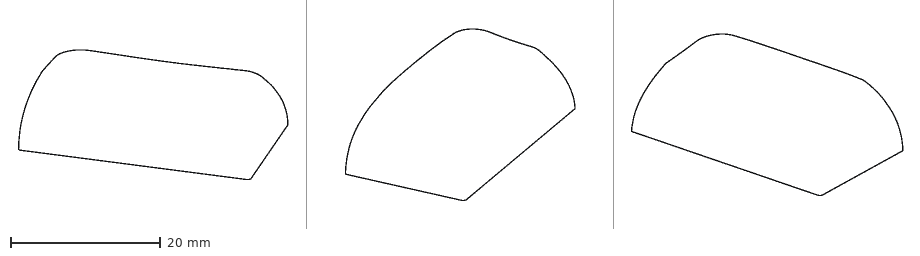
import cadquery as cq

key_pitch = 19.05
key_units_x = 1.75
base_y = 18.2
base_x = key_pitch * key_units_x - (key_pitch - base_y)
base_corner_radius = 0.5

top_inset = 5.0
top_x = base_x - top_inset
top_y = base_y - top_inset
side_bow = 1.7
top_corner_radius = 5.0

nominal_height = 10.5
top_tilt = -8.0
mid_fraction = 0.25
mid_corner_radius = (top_corner_radius - base_corner_radius) / 3

dish_depth = 2.8
dish_end_depth = 1.3
dish_end_inset = 2.0
dish_middle_overhang = 2.0
dish_middle_drop = 0.5

rim_fillet = 0.6


def rounded_rectangle(corner_radius):
    """Footprint rectangle with rounded corners."""
    return cq.Sketch().rect(base_x, base_y).vertices().fillet(corner_radius)


def bowed_rectangle():
    """Top outline whose four sides bow outward."""
    half_x = top_x / 2
    half_y = top_y / 2
    corner_x = half_x - side_bow
    corner_y = half_y - side_bow
    return (
        cq.Sketch()
        .arc((-corner_x, -corner_y), (-half_x, 0), (-corner_x, corner_y))
        .arc((-corner_x, corner_y), (0, half_y), (corner_x, corner_y))
        .arc((corner_x, corner_y), (half_x, 0), (corner_x, -corner_y))
        .arc((corner_x, -corner_y), (0, -half_y), (-corner_x, -corner_y))
        .assemble()
        .vertices()
        .fillet(top_corner_radius)
    )


def tilted(height, angle):
    """Placement at a height, tilted about the X axis."""
    return cq.Location(cq.Vector(0, 0, height), cq.Vector(1, 0, 0), angle)


def cap_body():
    """Loft from the base through a middle section to the tilted top."""
    middle_placement = tilted(nominal_height * mid_fraction, top_tilt * mid_fraction)
    top_placement = tilted(nominal_height, top_tilt)
    sections = [
        rounded_rectangle(base_corner_radius),
        rounded_rectangle(mid_corner_radius).moved(middle_placement),
        bowed_rectangle().moved(top_placement),
    ]
    wires = [face.outerWire() for section in sections for face in section]
    return cq.Workplane("XY").newObject([cq.Solid.makeLoft(wires)])


def dish_section(plane, half_width, edge_drop, depth):
    """Add an arc-bottomed section of the dish cutter to a workplane."""
    return (
        plane.moveTo(-half_width, -edge_drop)
        .threePointArc((0, -depth), (half_width, -edge_drop))
        .lineTo(base_y / 2, nominal_height)
        .lineTo(-base_y / 2, nominal_height)
        .close()
    )


def dish_cutter():
    """Loft that is shallow at both ends and deepest in the middle."""
    end_half_width = base_y / 2 - dish_end_inset
    middle_half_width = base_y / 2 + dish_middle_overhang
    cutter = cq.Workplane("YZ").transformed(
        offset=cq.Vector(0, nominal_height, -base_x / 2), rotate=cq.Vector(0, 0, top_tilt)
    )
    cutter = dish_section(cutter, end_half_width, 0, dish_end_depth)
    cutter = cutter.workplane(offset=base_x / 2)
    cutter = dish_section(cutter, middle_half_width, dish_middle_drop, dish_depth)
    cutter = cutter.workplane(offset=base_x / 2)
    cutter = dish_section(cutter, end_half_width, 0, dish_end_depth)
    return cutter.loft(combine=False)


dished_cap = cap_body().cut(dish_cutter())
result = dished_cap.faces(">Z").edges().fillet(rim_fillet)